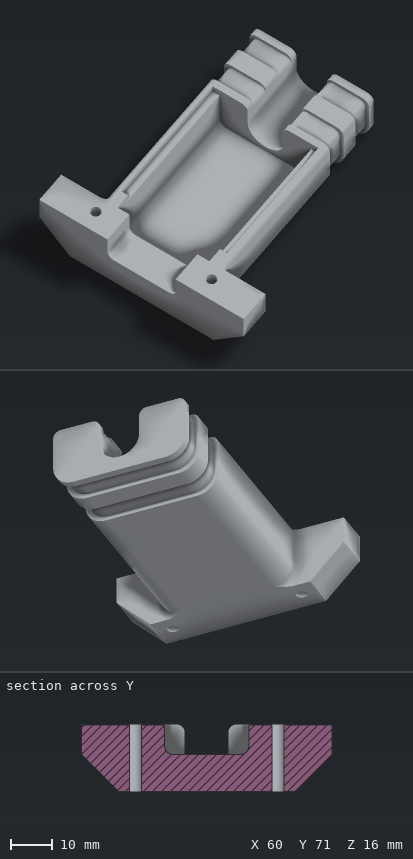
import cadquery as cq
import math

LENGTH = 71.0
HEIGHT = 16.0

PLATE_WIDTH = 60.0
PLATE_THICKNESS = 9.0
PLATE_CHAMFER = 8.9
NOTCH_WIDTH = 20.0
NOTCH_FLOOR = PLATE_CHAMFER
SCREW_HOLE_DIAMETER = 2.8
SCREW_HOLE_SPACING = 34.0
SCREW_HOLE_Y = 5.0

BODY_WIDTH = 35.0
TOP_RADIUS = 2.0
BOTTOM_RADIUS = 5.4
ROOT_RADIUS = 1.8

NECK_LENGTH = 20.0
COLLAR_LENGTH = 2.0
GROOVE_LENGTH = 5.5
GROOVE_DEPTH = 1.0
CHANNEL_WIDTH = 10.4
CHANNEL_AXIS_Z = 8.9
CHANNEL_LIP_RADIUS = 2.0

CAVITY_WIDTH = 27.0
CAVITY_FLOOR = 2.0
INNER_RADIUS = 2.0
LEDGE_WIDTH = 2.0
LEDGE_DEPTH = 2.0
LEDGE_START_Y = 13.4

NECK_Y = LENGTH - NECK_LENGTH
FIRST_GROOVE_Y = NECK_Y + COLLAR_LENGTH
SECOND_GROOVE_Y = LENGTH - COLLAR_LENGTH - GROOVE_LENGTH

OVERCUT = 5.0
SEAM_MARGIN = 1.0


def box(width, y_start, y_end, z_start, z_end):
    """Box centred on X = 0 between the given Y and Z limits."""
    size = (width, y_end - y_start, z_end - z_start)
    corner = cq.Vector(-width / 2, y_start, z_start)
    return cq.Workplane(cq.Solid.makeBox(*size, corner))


def rounded_bar(y_start, y_end, inset=0.0):
    """Length of the rounded body section, shrunk by `inset` on all sides."""
    bar = box(BODY_WIDTH - 2 * inset, y_start, y_end, inset, HEIGHT - inset)
    bar = bar.edges("|Y and >Z").fillet(TOP_RADIUS)
    return bar.edges("|Y and <Z").fillet(BOTTOM_RADIUS)


def trough(width, y_start, y_end, floor, radius):
    """Cutter open at the top, with rounded lower corners."""
    cutter = box(width, y_start, y_end, floor, HEIGHT + OVERCUT)
    return cutter.edges("|Y and <Z").fillet(radius)


def make_plate():
    """Chamfered plate with a central notch and two screw holes."""
    plate = box(PLATE_WIDTH, 0, PLATE_THICKNESS, 0, HEIGHT)
    plate = plate.edges("|Y and <Z").chamfer(PLATE_CHAMFER)
    plate = plate.cut(trough(NOTCH_WIDTH, -OVERCUT, PLATE_THICKNESS, NOTCH_FLOOR, INNER_RADIUS))
    for x in (-SCREW_HOLE_SPACING / 2, SCREW_HOLE_SPACING / 2):
        hole = cq.Solid.makeCylinder(SCREW_HOLE_DIAMETER / 2, HEIGHT, cq.Vector(x, SCREW_HOLE_Y, 0))
        plate = plate.cut(cq.Workplane(hole))
    return plate


def make_body():
    """Bar with a fillet where it meets the plate, trimmed flush at top and bottom."""
    backing = box(PLATE_WIDTH, 0, PLATE_THICKNESS, -OVERCUT, HEIGHT + OVERCUT)
    bar = backing.union(rounded_bar(PLATE_THICKNESS, LENGTH))
    half_width = BODY_WIDTH / 2 + SEAM_MARGIN
    seam_box = cq.selectors.BoxSelector(
        (-half_width, PLATE_THICKNESS - SEAM_MARGIN, -SEAM_MARGIN),
        (half_width, PLATE_THICKNESS + SEAM_MARGIN, HEIGHT + SEAM_MARGIN),
    )
    bar = bar.edges(seam_box).fillet(ROOT_RADIUS)
    return bar.intersect(box(PLATE_WIDTH, PLATE_THICKNESS, LENGTH, 0, HEIGHT))


def channel_cutter(y_start, y_end, top):
    """U-shaped channel whose upper edges flare out with a rounded lip below `top`."""
    half = CHANNEL_WIDTH / 2
    flare = half + CHANNEL_LIP_RADIUS
    lip_z = top - CHANNEL_LIP_RADIUS
    lip_mid = CHANNEL_LIP_RADIUS * (1 - math.cos(math.pi / 4))
    return (
        cq.Workplane("XZ", origin=(0, y_start, 0))
        .moveTo(-flare, top)
        .threePointArc((-half - lip_mid, top - lip_mid), (-half, lip_z))
        .lineTo(-half, CHANNEL_AXIS_Z)
        .threePointArc((0, CHANNEL_AXIS_Z - half), (half, CHANNEL_AXIS_Z))
        .lineTo(half, lip_z)
        .threePointArc((half + lip_mid, top - lip_mid), (flare, top))
        .lineTo(flare, HEIGHT + OVERCUT)
        .lineTo(-flare, HEIGHT + OVERCUT)
        .close()
        .extrude(y_start - y_end)
    )


def cut_neck(body):
    """Cut the cable channel and the two grooves around the neck."""
    body = body.cut(channel_cutter(NECK_Y, LENGTH, HEIGHT))
    for y in (FIRST_GROOVE_Y, SECOND_GROOVE_Y):
        y_end = y + GROOVE_LENGTH
        ring = box(PLATE_WIDTH, y, y_end, 0, HEIGHT).cut(rounded_bar(y, y_end, GROOVE_DEPTH))
        body = body.cut(ring)
        body = body.cut(channel_cutter(y, y_end, HEIGHT - GROOVE_DEPTH))
    return body


def cut_cavity(body):
    """Hollow the body and step its side walls to form a ledge."""
    body = body.cut(trough(CAVITY_WIDTH, PLATE_THICKNESS, NECK_Y, CAVITY_FLOOR, INNER_RADIUS))
    ledge_width = CAVITY_WIDTH + 2 * LEDGE_WIDTH
    return body.cut(box(ledge_width, LEDGE_START_Y, NECK_Y, HEIGHT - LEDGE_DEPTH, HEIGHT))


body = cut_cavity(cut_neck(make_body()))
result = body.union(make_plate())